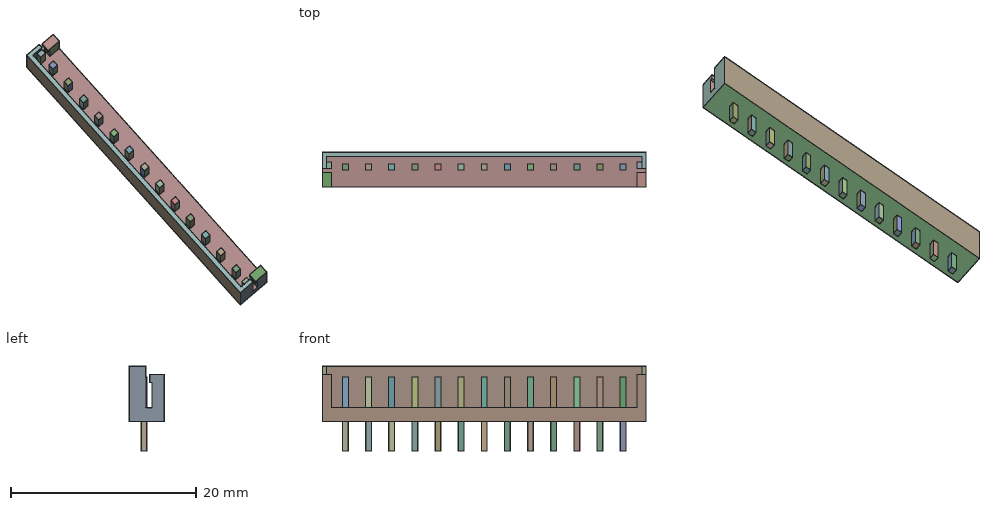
import cadquery as cq


length = 35.0
depth = 3.8
height = 6.0
floor_thickness = 1.5
back_wall_thickness = 0.5
back_y = 1.6
front_y = back_y - depth

end_wall_thickness = 0.45
end_wall_depth = 1.8
rib_depth = 0.7
rib_top = 5.0
post_width = 1.0
post_height = 5.1
post_depth = 1.35
lip_depth = 1.6
lip_bottom = 4.2

pin_count = 13
pin_pitch = 2.5
pin_size = 0.64
pin_top = 4.8
pin_bottom = -3.2


def block(x_min, x_max, y_min, y_max, z_min, z_max):
    """Axis-aligned box given by its limits."""
    size = (x_max - x_min, y_max - y_min, z_max - z_min)
    return cq.Workplane("XY").box(*size, centered=False).translate((x_min, y_min, z_min))


def make_tray():
    """Floor plate with the full-height back wall."""
    left = -length / 2
    right = length / 2
    floor = block(left, right, front_y, back_y, 0, floor_thickness)
    back_wall = block(left, right, back_y - back_wall_thickness, back_y, 0, height)
    return floor.union(back_wall)


def make_left_end():
    """End wall, guide rib and hooked post at the -X end, parted by an open slot."""
    left = -length / 2
    wall_inner_x = left + end_wall_thickness
    post_inner_x = left + post_width
    slot_back_y = back_y - end_wall_depth

    wall = block(left, wall_inner_x, slot_back_y, back_y, 0, height)
    rib = block(wall_inner_x, post_inner_x, slot_back_y, slot_back_y + rib_depth, 0, rib_top)
    post = block(left, post_inner_x, front_y, front_y + post_depth, 0, post_height)
    lip = block(left, post_inner_x, front_y, front_y + lip_depth, lip_bottom, post_height)
    return wall.union(rib).union(post).union(lip)


def make_pins():
    """Row of square pins passing through the floor."""
    first_x = -(pin_count - 1) * pin_pitch / 2
    half = pin_size / 2
    pins = cq.Workplane("XY")
    for index in range(pin_count):
        x = first_x + index * pin_pitch
        pins = pins.add(block(x - half, x + half, -half, half, pin_bottom, pin_top))
    return pins.combine()


left_end = make_left_end()
right_end = left_end.mirror("YZ")
result = make_tray().union(left_end).union(right_end).union(make_pins())